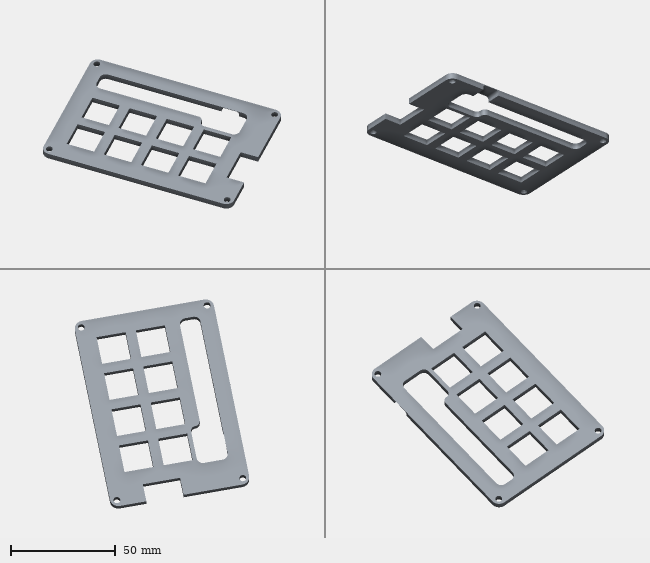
import cadquery as cq

length = 97.6
width = 67.4
thickness = 3.0
corner_radius = 4.0
right = length / 2
back = width / 2

screw_diameter = 3.2
screw_inset = 3.2

key_side = 14.1
key_pitch = 19.0
key_columns = 4
key_rows = 2
keys_center_x = -3.6
keys_center_y = -7.7

window_left = -41
window_right = 34.4
window_back = 25.9
window_front = 15.9
window_step_x = 14.8
window_step_front = 10.8
window_radius = 3.0
window_step_radius = 2.4

notch_depth = 9.0
notch_width = 18.1
notch_center_y = -7.8

channel_center_x = 24.7
channel_width = 9.2
channel_round_diameter = 3.0
channel_skin = 0.25


def make_plate():
    plate = cq.Workplane("XY").box(length, width, thickness, centered=(True, True, False))
    return plate.edges("|Z").fillet(corner_radius)


def screw_holes():
    spacing_x = length - 2 * screw_inset
    spacing_y = width - 2 * screw_inset
    centers = cq.Workplane("XY").rarray(spacing_x, spacing_y, 2, 2)
    return centers.circle(screw_diameter / 2).extrude(thickness)


def key_openings():
    centers = cq.Workplane("XY").center(keys_center_x, keys_center_y)
    centers = centers.rarray(key_pitch, key_pitch, key_columns, key_rows)
    return centers.rect(key_side, key_side).extrude(thickness)


def display_window():
    outline = [
        (window_left, window_back),
        (window_right, window_back),
        (window_right, window_step_front),
        (window_step_x, window_step_front),
        (window_step_x, window_front),
        (window_left, window_front),
    ]
    window = cq.Workplane("XY").polyline(outline).close().extrude(thickness)
    for x, y in outline:
        radius = window_step_radius if x == window_step_x else window_radius
        corner = cq.selectors.NearestToPointSelector((x, y, thickness / 2))
        window = window.edges("|Z").edges(corner).fillet(radius)
    return window


def edge_notch():
    notch = cq.Workplane("XY").center(right - notch_depth / 2, notch_center_y)
    return notch.rect(notch_depth, notch_width).extrude(thickness)


def cable_channel():
    channel_length = back - window_back
    channel = cq.Workplane("XY").center(channel_center_x, back - channel_length / 2)
    channel = channel.rect(channel_width, channel_length).extrude(thickness - channel_skin)
    return channel.faces(">Z").edges("|Y").fillet(channel_round_diameter / 2)


result = (
    make_plate()
    .cut(screw_holes())
    .cut(key_openings())
    .cut(display_window())
    .cut(edge_notch())
    .cut(cable_channel())
)